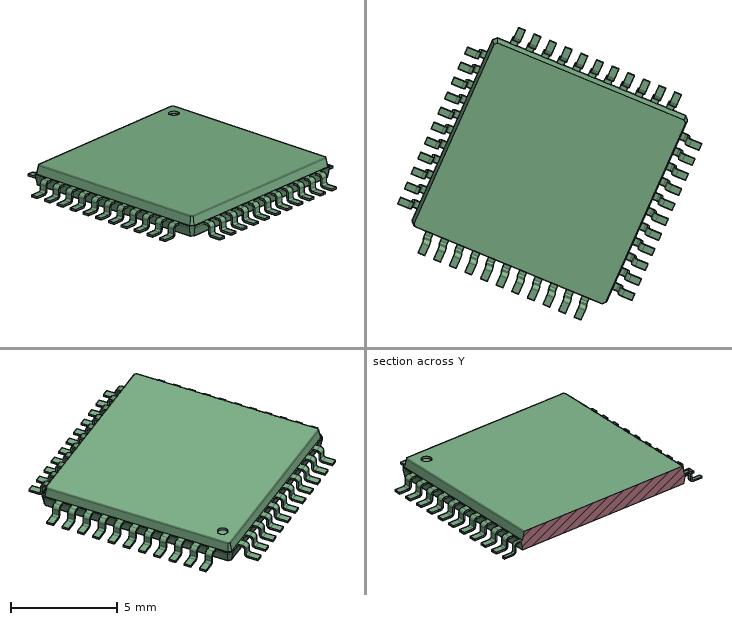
import cadquery as cq
import math

span = 12.0
height = 1.1

body_side = 10.0
band_corner = 0.18
ledge = 0.07
standoff = 0.1
draft_angle = 12.0
top_edge_radius = 0.042

leads_per_side = 11
lead_pitch = 2.4 / 3
lead_width = 0.35
lead_thickness = 0.1
lead_top = 0.65
inner_bend_radius = 0.1
shank_outer = 5.39

marker_diameter = 0.5
marker_inset = 1.87
marker_depth = 0.12

band_top = lead_top
band_bottom = lead_top - lead_thickness
upper_side = body_side - 2 * ledge
upper_corner = band_corner - ledge * (2 - math.sqrt(2))
outer_bend_radius = inner_bend_radius + lead_thickness
shank_inner = shank_outer - lead_thickness
lead_root = upper_side / 2


def chamfered_square(side, corner, base_height):
    """Square profile with cut corners, centred on the Z axis."""
    edge = side / 2
    cut = edge - corner
    points = [
        (cut, -edge),
        (edge, -cut),
        (edge, cut),
        (cut, edge),
        (-cut, edge),
        (-edge, cut),
        (-edge, -cut),
        (-cut, -edge),
    ]
    return cq.Workplane("XY").workplane(offset=base_height).polyline(points).close()


def make_body():
    """Band with a drafted upper half set in by a ledge and a drafted lower half."""
    band = chamfered_square(body_side, band_corner, band_bottom).extrude(lead_thickness)
    upper = chamfered_square(upper_side, upper_corner, band_top).extrude(
        height - band_top, taper=draft_angle
    )
    upper = upper.faces(">Z").fillet(top_edge_radius)
    lower = chamfered_square(body_side, band_corner, band_bottom).extrude(
        standoff - band_bottom, taper=draft_angle
    )
    return band.union(upper).union(lower)


def make_lead():
    """Lead on the +X side: flat root, two right-angle bends and a flat foot."""
    diagonal = math.sqrt(0.5)
    top_centre = (shank_outer - outer_bend_radius, lead_top - outer_bend_radius)
    foot_centre = (shank_inner + outer_bend_radius, outer_bend_radius)

    def bend_middle(centre, radius, direction):
        return (
            centre[0] + direction * radius * diagonal,
            centre[1] + direction * radius * diagonal,
        )

    return (
        cq.Workplane("XZ")
        .moveTo(lead_root, lead_top)
        .lineTo(top_centre[0], lead_top)
        .threePointArc(bend_middle(top_centre, outer_bend_radius, 1), (shank_outer, top_centre[1]))
        .lineTo(shank_outer, foot_centre[1])
        .threePointArc(bend_middle(foot_centre, inner_bend_radius, -1), (foot_centre[0], lead_thickness))
        .lineTo(span / 2, lead_thickness)
        .lineTo(span / 2, 0)
        .lineTo(foot_centre[0], 0)
        .threePointArc(bend_middle(foot_centre, outer_bend_radius, -1), (shank_inner, foot_centre[1]))
        .lineTo(shank_inner, top_centre[1])
        .threePointArc(bend_middle(top_centre, inner_bend_radius, 1), (top_centre[0], band_bottom))
        .lineTo(lead_root, band_bottom)
        .close()
        .extrude(lead_width / 2, both=True)
    )


def add_leads(part):
    """Join an evenly spaced row of leads to each of the four sides."""
    lead = make_lead()
    for side in range(4):
        for index in range(leads_per_side):
            offset = (index - (leads_per_side - 1) / 2) * lead_pitch
            placed = lead.translate((0, offset, 0)).rotate((0, 0, 0), (0, 0, 1), 90 * side)
            part = part.union(placed)
    return part


def make_marker():
    """Round dimple volume near the -X, +Y corner of the top face."""
    position = span / 2 - marker_inset
    return (
        cq.Workplane("XY")
        .workplane(offset=height - marker_depth)
        .center(-position, position)
        .circle(marker_diameter / 2)
        .extrude(marker_depth)
    )


result = add_leads(make_body()).cut(make_marker())